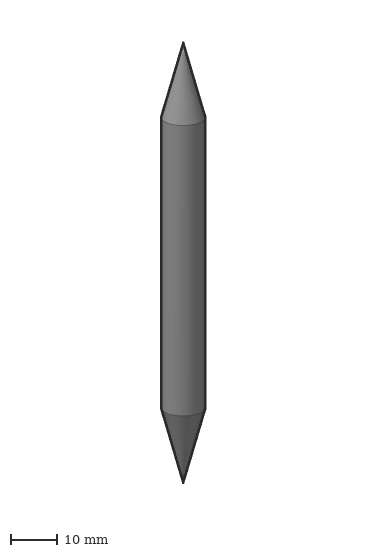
import cadquery as cq

total_length = 101.6
diameter = 9.5
point_length = 17.3

radius = diameter / 2
half_length = total_length / 2
shoulder_height = half_length - point_length

profile = (
    cq.Workplane("XZ")
    .moveTo(0, -half_length)
    .lineTo(radius, -shoulder_height)
    .lineTo(radius, shoulder_height)
    .lineTo(0, half_length)
    .close()
)

result = profile.revolve(360, (0, 0, 0), (0, 1, 0))